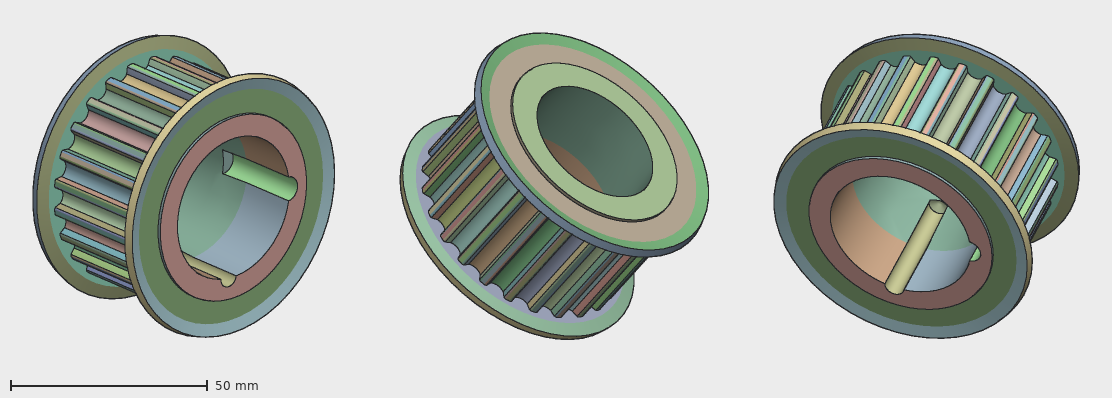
import cadquery as cq
import math


flange_diameter = 70.0
pulley_width = 38.2
half_width = pulley_width / 2

tooth_count = 24
tooth_diameter = 59.8
belt_width = 31.9
half_belt = belt_width / 2
tooth_pitch_angle = 360.0 / tooth_count

groove_root_radius = 26.9
groove_floor_half_width = 2.0
groove_floor_edge_height = 27.8
groove_flank_half_width = 2.7
groove_flank_height = 29.5
groove_mouth_half_width = 3.4
flank_bulge = 0.035
tip_round_bulge = 0.1

cut_clearance = 0.7

hub_diameter = 49.7
flange_bore_diameter = 49.8

seat_small_diameter = 35.0
seat_length = 22.0
seat_half_angle = 4.0
seat_end_x = seat_length - half_width
seat_large_diameter = seat_small_diameter + 2 * seat_length * math.tan(math.radians(seat_half_angle))

drilled_slot_angle = -95.0
drilled_slot_radius = 2.6
drilled_slot_axis_distance = 18.75
drilled_slot_shoulder_x = -13.15
drill_point_half_angle = 59.0
drill_tip_length = drilled_slot_radius / math.tan(math.radians(drill_point_half_angle))

flat_slot_angle = 0.0
flat_slot_radius = 3.3
flat_slot_axis_distance = 18.5
flat_slot_end_x = -5.6

sheet_thickness = 2.3
dish_angle = math.radians(15.0)


def revolve_about_x(points):
    """Solid of revolution about X from (x, radius) points."""
    return cq.Workplane("XY").polyline(points).close().revolve(360, (0, 0, 0), (1, 0, 0))


def x_cylinder(diameter, start_x, end_x):
    """Cylinder on the X axis."""
    return cq.Workplane("YZ", origin=(start_x, 0, 0)).circle(diameter / 2).extrude(end_x - start_x)


def make_groove():
    """One tooth groove, centred on +Y, as a cutter along the belt width."""
    tooth_radius = tooth_diameter / 2
    cutter_top = tooth_radius + cut_clearance
    mouth_height = math.sqrt(tooth_radius**2 - groove_mouth_half_width**2)
    flank_middle_height = (groove_floor_edge_height + groove_flank_height) / 2
    flank_middle_half_width = (groove_floor_half_width + groove_flank_half_width) / 2 - flank_bulge
    tip_middle_height = (groove_flank_height + mouth_height) / 2 + tip_round_bulge
    tip_middle_half_width = (groove_flank_half_width + groove_mouth_half_width) / 2 - tip_round_bulge

    floor_edge = (groove_floor_edge_height, groove_floor_half_width)
    flank_middle = (flank_middle_height, flank_middle_half_width)
    flank_end = (groove_flank_height, groove_flank_half_width)
    tip_middle = (tip_middle_height, tip_middle_half_width)
    mouth = (mouth_height, groove_mouth_half_width)

    def opposite(point):
        return (point[0], -point[1])

    return (
        cq.Workplane("YZ", origin=(-half_belt, 0, 0))
        .moveTo(*opposite(floor_edge))
        .threePointArc((groove_root_radius, 0), floor_edge)
        .threePointArc(flank_middle, flank_end)
        .threePointArc(tip_middle, mouth)
        .lineTo(cutter_top, groove_mouth_half_width)
        .lineTo(cutter_top, -groove_mouth_half_width)
        .lineTo(*opposite(mouth))
        .threePointArc(opposite(tip_middle), opposite(flank_end))
        .threePointArc(opposite(flank_middle), opposite(floor_edge))
        .close()
        .extrude(belt_width)
    )


def make_seat():
    """Cutter for the tapered seat and the straight recess behind it."""
    return revolve_about_x([
        (-half_width, 0),
        (-half_width, seat_small_diameter / 2),
        (seat_end_x, seat_large_diameter / 2),
        (half_width, seat_large_diameter / 2),
        (half_width, 0),
    ])


def make_slot(profile, axis_distance, angle):
    """Slot cutter: a revolved (x, radius) profile moved off the pulley axis and turned about it."""
    return revolve_about_x(profile).translate((0, axis_distance, 0)).rotate((0, 0, 0), (1, 0, 0), angle)


def make_drilled_slot():
    """Round slot that ends in a drill-point cone."""
    profile = [
        (drilled_slot_shoulder_x - drill_tip_length, 0),
        (drilled_slot_shoulder_x, drilled_slot_radius),
        (half_width, drilled_slot_radius),
        (half_width, 0),
    ]
    return make_slot(profile, drilled_slot_axis_distance, drilled_slot_angle)


def make_flat_slot():
    """Round slot that ends in a flat face."""
    profile = [
        (flat_slot_end_x, 0),
        (flat_slot_end_x, flat_slot_radius),
        (half_width, flat_slot_radius),
        (half_width, 0),
    ]
    return make_slot(profile, flat_slot_axis_distance, flat_slot_angle)


def make_pulley():
    """Toothed rim and hub in one piece, with the tapered seat, recess and screw slots."""
    pulley = x_cylinder(tooth_diameter, -half_belt, half_belt)
    groove = make_groove()
    for i in range(tooth_count):
        pulley = pulley.cut(groove.rotate((0, 0, 0), (1, 0, 0), i * tooth_pitch_angle))
    pulley = pulley.union(x_cylinder(hub_diameter, -half_width, half_width))
    pulley = pulley.cut(make_seat())
    pulley = pulley.cut(make_drilled_slot())
    return pulley.cut(make_flat_slot())


def make_flange():
    """Flange at the +X end: a flat ring whose rim is bent outward by the dish angle."""
    bore_radius = flange_bore_diameter / 2
    rim_radius = flange_diameter / 2
    flat_outer_x = half_belt + sheet_thickness
    lip_radius = rim_radius - sheet_thickness * math.sin(dish_angle)
    rim_x = half_width - sheet_thickness * math.cos(dish_angle)
    inner_bend_radius = rim_radius - (rim_x - half_belt) / math.tan(dish_angle)
    outer_bend_radius = lip_radius - (half_width - flat_outer_x) / math.tan(dish_angle)
    return revolve_about_x([
        (half_belt, bore_radius),
        (half_belt, inner_bend_radius),
        (rim_x, rim_radius),
        (half_width, lip_radius),
        (flat_outer_x, outer_bend_radius),
        (flat_outer_x, bore_radius),
    ])


pulley = make_pulley()
right_flange = make_flange()
flanges = [right_flange, right_flange.mirror("YZ")]

result = cq.Compound.makeCompound([pulley.val(), *[flange.val() for flange in flanges]])